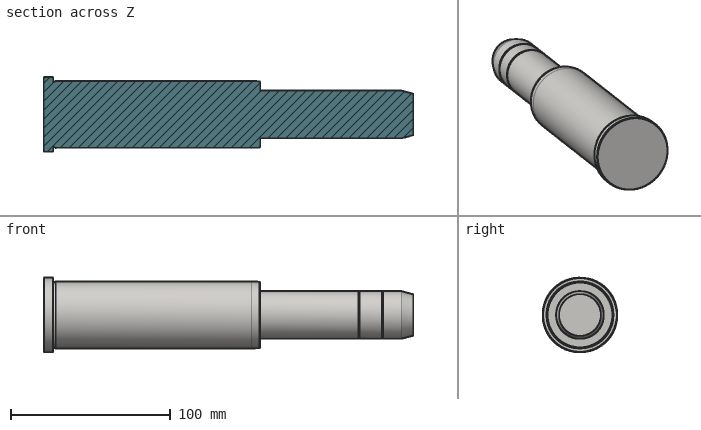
import cadquery as cq

total_length = 231.0
flange_thickness = 6.0
relief_width = 1.5
sleeve_end = 135.4
sleeve_lead_length = 5.5
nose_length = 7.5

flange_diameter = 47.0
sleeve_diameter = 42.0
sleeve_lead_diameter = 41.8
relief_diameter = 40.7
pin_diameter = 30.0
nose_diameter = 26.0

flange_face_chamfer = 0.5
flange_back_chamfer = 0.5
sleeve_chamfer = 0.7

groove_starts = (196.5, 211.4)
groove_width = 1.0
groove_depth = 0.12


def make_body():
    """Revolve the stepped half-profile of flange, sleeve and pin about X."""
    flange_radius = flange_diameter / 2
    sleeve_radius = sleeve_diameter / 2
    lead_radius = sleeve_lead_diameter / 2
    relief_radius = relief_diameter / 2
    pin_radius = pin_diameter / 2
    relief_end = flange_thickness + relief_width
    lead_start = sleeve_end - sleeve_lead_length

    profile = (
        cq.Workplane("XY")
        .lineTo(0, flange_radius - flange_face_chamfer)
        .lineTo(flange_face_chamfer, flange_radius)
        .lineTo(flange_thickness - flange_back_chamfer, flange_radius)
        .lineTo(flange_thickness, flange_radius - flange_back_chamfer)
        .lineTo(flange_thickness, relief_radius)
        .lineTo(relief_end, sleeve_radius)
        .lineTo(lead_start, sleeve_radius)
        .lineTo(sleeve_end - sleeve_chamfer, lead_radius)
        .lineTo(sleeve_end, lead_radius - sleeve_chamfer)
        .lineTo(sleeve_end, pin_radius)
        .lineTo(total_length - nose_length, pin_radius)
        .lineTo(total_length, nose_diameter / 2)
        .lineTo(total_length, 0)
        .close()
    )
    return profile.revolve(360, (0, 0, 0), (1, 0, 0))


def make_groove(start):
    """Ring of material removed from the pin surface."""
    return (
        cq.Workplane("YZ", origin=(start, 0, 0))
        .circle(pin_diameter / 2)
        .circle(pin_diameter / 2 - groove_depth)
        .extrude(groove_width)
    )


result = make_body()
for groove_start in groove_starts:
    result = result.cut(make_groove(groove_start))